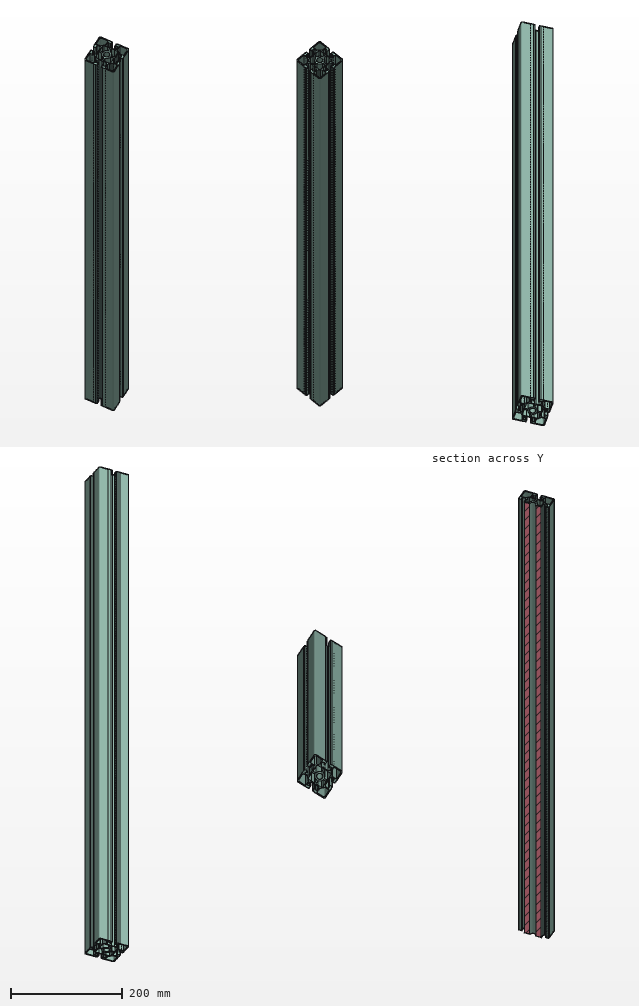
import cadquery as cq

length = 1000.0
side = 60.0
corner_radius = 3.0

slot_opening = 8.0
mouth_recess_width = 14.0
mouth_recess_depth = 0.5
lip_thickness = 5.0
nose_height = 2.0
nose_width = 2.0
slot_width = 20.0
slot_depth = 13.0
floor_bevel_width = 3.0
floor_bevel_height = 2.0

outer_wall = 2.0
slot_wall = 2.0
chamber_radius = 3.0
chamber_bevel = 7.0

bore_diameter = 11.0
hub_diameter = 18.0
spoke_thickness = 3.0
floor_wall = 1.5
cavity_bevel = 2.0

half_side = side / 2
slot_floor = half_side - slot_depth


def four_around(shape):
    """Fuse four copies of a shape, a quarter turn apart about Z."""
    copies = shape
    for quarter in range(1, 4):
        copies = copies.union(shape.rotate((0, 0, 0), (0, 0, 1), 90 * quarter))
    return copies


def square_bar(width):
    return cq.Workplane("XY").rect(width, width).extrude(length)


def round_bar(diameter):
    return cq.Workplane("XY").circle(diameter / 2).extrude(length)


def slot():
    """T-slot open toward +Y; each lip ends in a nose that points into the slot."""
    mouth = slot_opening / 2
    recess = mouth_recess_width / 2
    recess_floor = half_side - mouth_recess_depth
    lip = half_side - lip_thickness
    nose_tip = lip - nose_height
    wall = slot_width / 2
    right_side = [
        (recess, half_side),
        (recess, recess_floor),
        (mouth, recess_floor),
        (mouth, nose_tip),
        (mouth + nose_width, nose_tip),
        (mouth + nose_width, lip),
        (wall, lip),
        (wall, slot_floor + floor_bevel_height),
        (wall - floor_bevel_width, slot_floor),
    ]
    left_side = [(-x, y) for x, y in reversed(right_side)]
    return cq.Workplane("XY").polyline(right_side + left_side).close().extrude(length)


def corner_chamber():
    """Square chamber in the +X +Y corner, rounded outside and bevelled toward the hub."""
    near = slot_width / 2 + slot_wall
    far = half_side - outer_wall
    width = far - near
    center = (near + far) / 2
    chamber = cq.Workplane("XY").center(center, center).rect(width, width).extrude(length)
    outer_edge = cq.NearestToPointSelector((far, far, length / 2))
    inner_edge = cq.NearestToPointSelector((near, near, length / 2))
    return chamber.edges(outer_edge).fillet(chamber_radius).edges(inner_edge).chamfer(chamber_bevel)


def hub_cavity():
    """Space around the hub, divided into four by the spokes."""
    reach = slot_floor - floor_wall
    space = square_bar(2 * reach).edges("|Z").chamfer(cavity_bevel)
    spoke = cq.Workplane("XY").rect(spoke_thickness, side).extrude(length)
    return space.cut(round_bar(hub_diameter)).cut(four_around(spoke))


body = square_bar(side).edges("|Z").fillet(corner_radius)

result = (
    body.cut(four_around(slot()))
    .cut(four_around(corner_chamber()))
    .cut(hub_cavity())
    .cut(round_bar(bore_diameter))
    .solids()
)